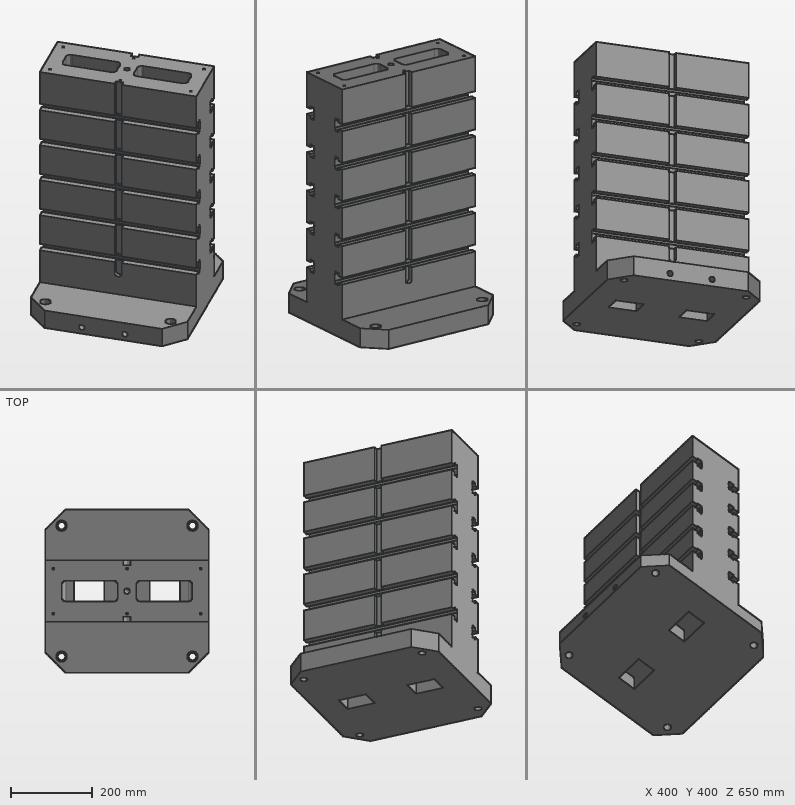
import cadquery as cq
import math

BASE_SIZE = 400
HALF_BASE = BASE_SIZE / 2
BASE_HEIGHT = 50
BASE_CORNER_CHAMFER = 50

TOTAL_HEIGHT = 650
TOWER_THICKNESS = 150
TOWER_FACE_Y = TOWER_THICKNESS / 2

T_SLOT_LEVELS = 5
T_SLOT_PITCH = 100
T_SLOT_FIRST_Z = 150
T_NECK_HEIGHT = 18
T_SLOT_DEPTH = 32
T_HEAD_HEIGHT = 32
T_HEAD_NEAR_DEPTH = 16
T_HEAD_FAR_DEPTH = 30

KEYWAY_WIDTH = 18
KEYWAY_DEPTH = 12
KEYWAY_BOTTOM_Z = 101

OPENING_INNER_X = 22
OPENING_OUTER_X = 160
OPENING_WIDTH = 51
OPENING_CORNER_RADIUS = 12
ROOF_THICKNESS = 45
CAVITY_LENGTH = 320
CAVITY_WIDTH = 50
CAVITY_FLOOR_Z = BASE_HEIGHT
CAVITY_FILLET = 10
WINDOW_INNER_X = 56
WINDOW_OUTER_X = 129
WINDOW_WIDTH = CAVITY_WIDTH

MOUNT_HOLE_SPACING = 320
MOUNT_HOLE_DIAMETER = 18
MOUNT_BORE_DIAMETER = 26
MOUNT_BORE_DEPTH = 20
COVER_HOLE_DIAMETER = 5
COVER_HOLE_DEPTH = 15
COVER_HOLE_X = 180
COVER_HOLE_Y = 55
LIFTING_HOLE_DIAMETER = 14
LIFTING_HOLE_DEPTH = 30
SIDE_HOLE_X = 55
SIDE_HOLE_Z = 18
DRILL_POINT_ANGLE = 118


def block(x_min, x_max, width_y, z_min, z_max):
    """Box between two X and two Z limits, centred on Y."""
    return (
        cq.Workplane("XY")
        .box(x_max - x_min, width_y, z_max - z_min, centered=(False, True, False))
        .translate((x_min, 0, z_min))
    )


def drilled_hole(start, direction, diameter, depth):
    """Blind hole with a conical drill point."""
    radius = diameter / 2
    tip = radius / math.tan(math.radians(DRILL_POINT_ANGLE / 2))
    origin = cq.Vector(*start)
    axis = cq.Vector(*direction)
    barrel = cq.Solid.makeCylinder(radius, depth, origin, axis)
    point = cq.Solid.makeCone(radius, 0, tip, origin + axis * depth, axis)
    return cq.Workplane(barrel.fuse(point))


def both_faces(cutter):
    """The cutter for the -Y face together with its mirror for the +Y face."""
    return cutter.union(cutter.mirror("XZ"))


def make_body():
    """Base plate with its counterbored mounting holes, and the solid tower."""
    base = block(-HALF_BASE, HALF_BASE, BASE_SIZE, 0, BASE_HEIGHT)
    base = base.edges("|Z").chamfer(BASE_CORNER_CHAMFER)
    base = (
        base.faces(">Z")
        .workplane(origin=(0, 0, 0))
        .rect(MOUNT_HOLE_SPACING, MOUNT_HOLE_SPACING, forConstruction=True)
        .vertices()
        .cboreHole(MOUNT_HOLE_DIAMETER, MOUNT_BORE_DIAMETER, MOUNT_BORE_DEPTH)
    )
    tower = block(-HALF_BASE, HALF_BASE, TOWER_THICKNESS, 0, TOTAL_HEIGHT)
    return base.union(tower)


def t_slot(z):
    """T-slot in the -Y face, running the whole length of the tower."""
    head_depth = T_HEAD_FAR_DEPTH - T_HEAD_NEAR_DEPTH
    neck = (
        cq.Workplane("XY")
        .box(BASE_SIZE, T_SLOT_DEPTH, T_NECK_HEIGHT, centered=(True, False, True))
        .translate((0, -TOWER_FACE_Y, z))
    )
    head = (
        cq.Workplane("XY")
        .box(BASE_SIZE, head_depth, T_HEAD_HEIGHT, centered=(True, False, True))
        .translate((0, -TOWER_FACE_Y + T_HEAD_NEAR_DEPTH, z))
    )
    return neck.union(head)


def keyway():
    """Keyway in the -Y face, open at the top and round at the bottom."""
    radius = KEYWAY_WIDTH / 2
    return (
        cq.Workplane("XZ", origin=(0, -TOWER_FACE_Y, 0))
        .moveTo(-radius, TOTAL_HEIGHT)
        .lineTo(-radius, KEYWAY_BOTTOM_Z + radius)
        .threePointArc((0, KEYWAY_BOTTOM_Z), (radius, KEYWAY_BOTTOM_Z + radius))
        .lineTo(radius, TOTAL_HEIGHT)
        .close()
        .extrude(-KEYWAY_DEPTH)
    )


def hollow_core():
    """Cavity with its two top openings and two floor windows."""
    roof_z = TOTAL_HEIGHT - ROOF_THICKNESS
    core = block(-CAVITY_LENGTH / 2, CAVITY_LENGTH / 2, CAVITY_WIDTH, CAVITY_FLOOR_Z, roof_z)
    core = core.edges("|Y").edges("<Z").fillet(CAVITY_FILLET)
    opening = block(OPENING_INNER_X, OPENING_OUTER_X, OPENING_WIDTH, roof_z, TOTAL_HEIGHT)
    opening = opening.edges("|Z").fillet(OPENING_CORNER_RADIUS)
    window = block(WINDOW_INNER_X, WINDOW_OUTER_X, WINDOW_WIDTH, 0, CAVITY_FLOOR_Z)
    for cutter in (opening, window):
        core = core.union(cutter).union(cutter.mirror("YZ"))
    return core


def cut_blind_holes(body):
    """Holes in the tower top and in the -Y side of the base."""
    down = (0, 0, -1)
    for x in (-COVER_HOLE_X, 0, COVER_HOLE_X):
        for y in (-COVER_HOLE_Y, COVER_HOLE_Y):
            start = (x, y, TOTAL_HEIGHT)
            body = body.cut(drilled_hole(start, down, COVER_HOLE_DIAMETER, COVER_HOLE_DEPTH))
    top_centre = (0, 0, TOTAL_HEIGHT)
    body = body.cut(drilled_hole(top_centre, down, LIFTING_HOLE_DIAMETER, LIFTING_HOLE_DEPTH))
    inward = (0, 1, 0)
    for x in (-SIDE_HOLE_X, SIDE_HOLE_X):
        start = (x, -HALF_BASE, SIDE_HOLE_Z)
        body = body.cut(drilled_hole(start, inward, LIFTING_HOLE_DIAMETER, LIFTING_HOLE_DEPTH))
    return body


body = make_body()
for level in range(T_SLOT_LEVELS):
    body = body.cut(both_faces(t_slot(T_SLOT_FIRST_Z + level * T_SLOT_PITCH)))
body = body.cut(both_faces(keyway()))
body = body.cut(hollow_core())
result = cut_blind_holes(body)